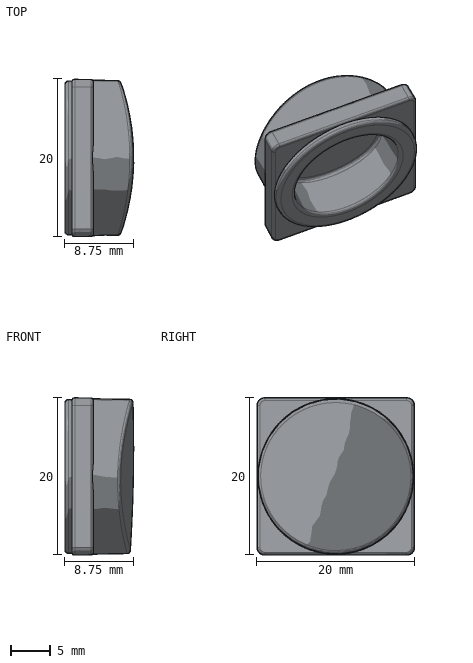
import cadquery as cq
import math

side = 19.98
plate_start = 0.92
plate_end = 3.64
plate_draft = 1.0
plate_corner_radius = 1.0
plate_edge_radius = 0.34

collar_radius = 9.77
collar_edge_radius = 0.48

cap_root_radius = 9.9
cap_taper = 1.0
cap_edge_radius = 0.44

crown_top = 8.75
crown_radius_y = 28.77
crown_radius_z = 199.8
crown_peak_z = 3.6
crown_reach = 11.99

mouth_radius = 7.25
cavity_taper = 1.5
mouth_edge_radius = 0.48
floor_edge_radius = 0.5
end_wall = 2.4

overlap = 0.6


def crowned_body(drop):
    """Solid that fills the space below the crowned end face, offset inward by the drop."""
    top = crown_top - drop
    arc_radius = crown_radius_y - drop
    sweep_radius = crown_radius_z - drop
    sag = arc_radius - math.sqrt(arc_radius**2 - crown_reach**2)
    sweep_angle = 2 * math.degrees(math.asin(2 * crown_reach / sweep_radius))
    axis_x = top - sweep_radius
    base_x = -side
    return (
        cq.Workplane("XY")
        .moveTo(base_x, -crown_reach)
        .lineTo(top - sag, -crown_reach)
        .threePointArc((top, 0), (top - sag, crown_reach))
        .lineTo(base_x, crown_reach)
        .close()
        .revolve(sweep_angle, (axis_x, 0), (axis_x, 1))
        .rotate((axis_x, 0, 0), (axis_x, 1, 0), -sweep_angle / 2)
        .translate((0, 0, crown_peak_z))
    )


def tapered_rod(start, end, radius, taper):
    """Round rod along X that narrows from the given radius at its start."""
    return cq.Workplane("YZ", origin=(start, 0, 0)).circle(radius).extrude(end - start, taper=taper)


def make_plate():
    start_side = side + 2 * plate_edge_radius * math.tan(math.radians(plate_draft))
    return (
        cq.Workplane("YZ", origin=(plate_start, 0, 0))
        .sketch()
        .rect(start_side, start_side)
        .vertices()
        .fillet(plate_corner_radius)
        .finalize()
        .extrude(plate_end - plate_start, taper=plate_draft)
        .faces("<X or >X")
        .edges()
        .fillet(plate_edge_radius)
    )


def make_collar():
    collar = cq.Workplane("YZ").circle(collar_radius).extrude(plate_start + overlap)
    return collar.faces("<X").edges().fillet(collar_edge_radius)


def make_cap():
    rod = tapered_rod(plate_end - overlap, crown_top + overlap, cap_root_radius, cap_taper)
    cap = rod.intersect(crowned_body(0))
    return cap.faces(">X").edges().fillet(cap_edge_radius)


def make_cavity():
    rod = tapered_rod(0, crown_top, mouth_radius, cavity_taper)
    cavity = rod.intersect(crowned_body(end_wall))
    return cavity.faces(">X").edges().fillet(floor_edge_radius)


body = make_plate().union(make_collar()).union(make_cap()).cut(make_cavity())

mouth_edge = cq.selectors.RadiusNthSelector(0)
result = body.faces("<X").edges(mouth_edge).fillet(mouth_edge_radius)